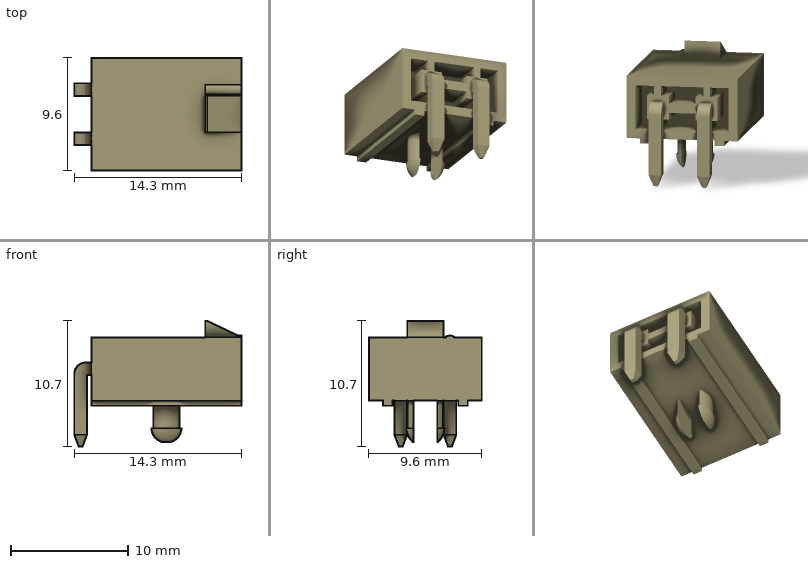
import cadquery as cq
import math


HOUSING_LENGTH = 12.8
HOUSING_WIDTH = 9.6
HOUSING_HEIGHT = 5.4

SIDE_WALL = 0.78
FLOOR_WALL = 0.77
ROOF_WALL = 0.83
RECESS_DEPTH = 2.99

TERMINAL_PITCH = 4.19
TERMINAL_OFFSET = TERMINAL_PITCH / 2
SUPPORT_WIDTH = 1.9
SUPPORT_TOP = 3.7
SUPPORT_BOTTOM = 1.7
WEB_WIDTH = 0.57
WEB_OFFSET = 2.12
BRIDGE_TOP = 3.06
BRIDGE_BOTTOM = 2.28

LATCH_LENGTH = 3.1
LATCH_WIDTH = 3.1
LATCH_HEIGHT = 1.4
LATCH_CREST = 0.2

RIB_WIDTH = 0.8
RIB_HEIGHT = 0.15

RAIL_WIDTH = 0.84
RAIL_HEIGHT = 0.44
RAIL_OFFSET = 3.2

PEG_X = HOUSING_LENGTH / 2
PEG_RADIUS = 1.51
PEG_HEAD_RADIUS = 1.64
PEG_SHANK_LENGTH = 2.34
PEG_HEAD_HEIGHT = 1.18
PEG_END_RADIUS = 1.07
PEG_SLOT_WIDTH = 2.0

PIN_SIZE = 1.1
PIN_REACH = 1.45
PIN_TOP = 3.26
PIN_DROP = 3.9
PIN_BEND_RADIUS = 1.0
PIN_TAPER = 1.01
PIN_TIP_SIZE = 0.34


def box(x_range, y_range, z_range):
    """Axis-aligned box from its (low, high) limits along each axis."""
    x_low, x_high = x_range
    y_low, y_high = y_range
    z_low, z_high = z_range
    return (
        cq.Workplane("XY")
        .box(x_high - x_low, y_high - y_low, z_high - z_low, centered=False)
        .translate((x_low, y_low, z_low))
    )


def band(center, width):
    """(low, high) limits of a band centred on a coordinate."""
    return (center - width / 2, center + width / 2)


def rear_recess():
    """Blind pocket in the rear face, less the supports, webs and bridge standing in it."""
    depth = (0, RECESS_DEPTH)
    recess_top = HOUSING_HEIGHT - ROOF_WALL
    recess = box(depth, band(0, HOUSING_WIDTH - 2 * SIDE_WALL), (FLOOR_WALL, recess_top))
    recess = recess.cut(box(depth, band(0, TERMINAL_PITCH), (BRIDGE_BOTTOM, BRIDGE_TOP)))
    for side in (-1, 1):
        support = band(side * TERMINAL_OFFSET, SUPPORT_WIDTH)
        web = band(side * WEB_OFFSET, WEB_WIDTH)
        recess = recess.cut(box(depth, support, (SUPPORT_BOTTOM, SUPPORT_TOP)))
        recess = recess.cut(box(depth, web, (FLOOR_WALL, recess_top)))
    return recess


def latch():
    """Wedge with a narrow flat crest and a ramp down to the front edge of the roof."""
    latch_rear = HOUSING_LENGTH - LATCH_LENGTH
    crest_height = HOUSING_HEIGHT + LATCH_HEIGHT
    return (
        cq.Workplane("XZ")
        .moveTo(latch_rear, HOUSING_HEIGHT)
        .lineTo(latch_rear, crest_height)
        .lineTo(latch_rear + LATCH_CREST, crest_height)
        .lineTo(HOUSING_LENGTH, HOUSING_HEIGHT)
        .close()
        .extrude(LATCH_WIDTH / 2, both=True)
    )


def key_rib():
    """Circular-segment rib on the roof, as long as the latch."""
    rib_low, rib_high = band(TERMINAL_OFFSET, RIB_WIDTH)
    return (
        cq.Workplane("YZ", origin=(HOUSING_LENGTH - LATCH_LENGTH, 0, 0))
        .moveTo(rib_low, HOUSING_HEIGHT)
        .threePointArc((TERMINAL_OFFSET, HOUSING_HEIGHT + RIB_HEIGHT), (rib_high, HOUSING_HEIGHT))
        .close()
        .extrude(LATCH_LENGTH)
    )


def locating_peg():
    """Round shank with a larger domed, flat-ended head, split lengthwise by a wide slot."""
    peg_bottom = -PEG_SHANK_LENGTH - PEG_HEAD_HEIGHT
    peg = (
        cq.Workplane("XZ")
        .lineTo(PEG_RADIUS, 0)
        .lineTo(PEG_RADIUS, -PEG_SHANK_LENGTH)
        .lineTo(PEG_HEAD_RADIUS, -PEG_SHANK_LENGTH)
        .radiusArc((PEG_END_RADIUS, peg_bottom), PEG_HEAD_RADIUS)
        .lineTo(0, peg_bottom)
        .close()
        .revolve(360, (0, 0, 0), (0, 1, 0))
    )
    slot = box(band(0, 2 * PEG_HEAD_RADIUS), band(0, PEG_SLOT_WIDTH), (peg_bottom, 0))
    return peg.cut(slot).translate((PEG_X, 0, 0))


def make_housing():
    """Connector housing with its recess, latch, rib, rails and split peg."""
    length = (0, HOUSING_LENGTH)
    housing = box(length, band(0, HOUSING_WIDTH), (0, HOUSING_HEIGHT))
    housing = housing.cut(rear_recess())
    housing = housing.union(latch()).union(key_rib()).union(locating_peg())
    for side in (-1, 1):
        housing = housing.union(box(length, band(side * RAIL_OFFSET, RAIL_WIDTH), (-RAIL_HEIGHT, 0)))
    return housing


def make_pin(y_center):
    """Square pin that leaves the rear face, bends down and ends in a four-sided taper."""
    shank_bottom = PIN_TAPER - PIN_DROP
    bend_diagonal = PIN_BEND_RADIUS * (1 - math.sqrt(0.5))
    bent_bar = (
        cq.Workplane("XZ", origin=(0, y_center, 0))
        .moveTo(0, PIN_TOP)
        .lineTo(PIN_BEND_RADIUS - PIN_REACH, PIN_TOP)
        .threePointArc(
            (bend_diagonal - PIN_REACH, PIN_TOP - bend_diagonal),
            (-PIN_REACH, PIN_TOP - PIN_BEND_RADIUS),
        )
        .lineTo(-PIN_REACH, shank_bottom)
        .lineTo(PIN_SIZE - PIN_REACH, shank_bottom)
        .lineTo(PIN_SIZE - PIN_REACH, PIN_TOP - PIN_SIZE)
        .lineTo(0, PIN_TOP - PIN_SIZE)
        .close()
        .extrude(PIN_SIZE / 2, both=True)
    )
    taper = (
        cq.Workplane("XY", origin=(PIN_SIZE / 2 - PIN_REACH, y_center, shank_bottom))
        .rect(PIN_SIZE, PIN_SIZE)
        .workplane(offset=-PIN_TAPER)
        .rect(PIN_TIP_SIZE, PIN_TIP_SIZE)
        .loft(ruled=True)
    )
    return bent_bar.union(taper)


housing = make_housing()
pins = [make_pin(side * TERMINAL_OFFSET) for side in (-1, 1)]

result = cq.Compound.makeCompound([housing.solids().val(), *[pin.solids().val() for pin in pins]])